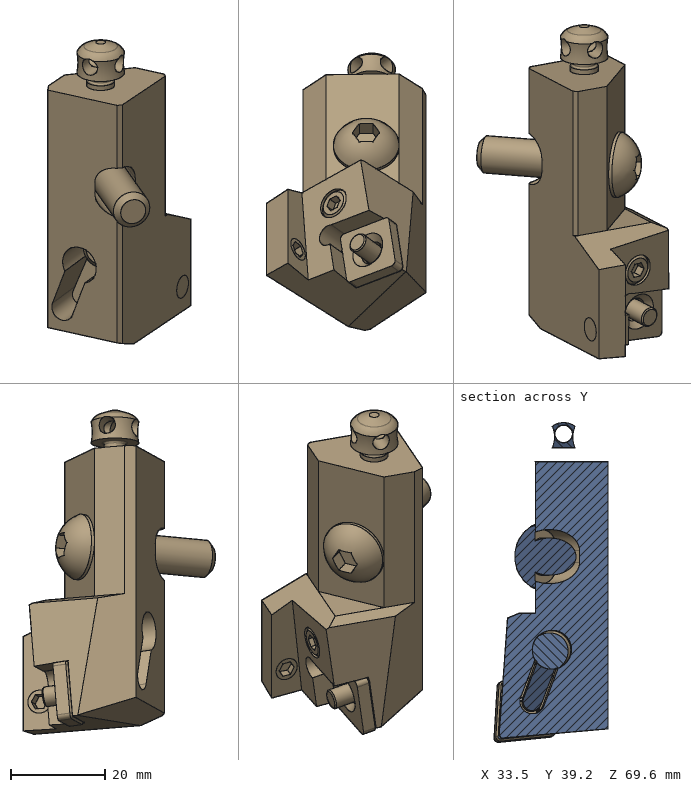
import cadquery as cq
import math


SHANK_WIDTH = 18.9
SHANK_DEPTH = 20.0
SHANK_LENGTH = 32.2
EDGE_CHAMFER = 0.8
LEAN_ANGLE = 25.8
LEAN_START = 17.85
FLAT_CUT = 11.0
FOOT_DEPTH = 30.0
FOOT_TOP_WIDTH = 21.4
SHOULDER_DROP = 1.05
FOOT_SIDE_SLOPE = 0.072
FOOT_BOTTOM_Z = -56.8
FOOT_BOTTOM_ANGLE = 5
FOOT_BACK_ANGLE = 25
FOOT_FRONT_Z = -54.7
FOOT_BEVEL_ANGLE = 20
REACH = 69.5

RAKE_X = 0.15
RAKE_Z = 0.1
STEP_CORNER = (-5.85, 25.15, -34.55)

INSERT_TIP = (-19.75, -25.8)
INSERT_TURN = 5.7
INSERT_ANGLE = 80
INSERT_EDGE = 12.9
INSERT_THICKNESS = 3.2
INSERT_TOP_DEPTH = 4.45
INSERT_RADIUS = 1.0
INSERT_CHAMFER = 0.4
INSERT_HOLE_DIAMETER = 5.15
COUNTERSINK_DIAMETER = 7.9
SEAT_DEPTH = INSERT_TOP_DEPTH + INSERT_THICKNESS
RELIEF_RADIUS = 2.4
RELIEF_OFFSET = 2.35

LEVER_DIAMETER = 4.25
LEVER_PIN_DEPTH = 0.7
LEVER_CHAMFER = 0.3
LEVER_FOOT_THICKNESS = 3.35
LEVER_FOOT_WIDTH = 4.0
SLOT_WIDTH = 5.15
SLOT_END = (-12.0, -17.4)

LEVER_SCREW_CENTER = (-7.9, -6.5)
LEVER_SCREW_DIAMETER = 8.1
LEVER_SCREW_NECK_DIAMETER = 6.8
LEVER_SCREW_NECK_LENGTH = 5.55
LEVER_SCREW_LENGTH = 12.0
LEVER_SCREW_CHAMFER = 1.05
LEVER_SCREW_NECK_CHAMFER = 0.7
LEVER_SOCKET_FLATS = 3.0
LEVER_SOCKET_DEPTH = 2.1

BOLT_Z = -20.15
BOLT_DIAMETER = 8.0
BOLT_TIP = 10.3
BOLT_CHAMFER = 1.25
BOLT_HEAD_DIAMETER = 14.0
BOLT_HEAD_HEIGHT = 5.2
BOLT_HEAD_RIM = 0.7
BOLT_SOCKET_FLATS = 5.0
BOLT_SOCKET_DEPTH = 3.75
BOLT_SLOT_WIDTH = 8.9
BOLT_SLOT_HEIGHT = 11.4
FLAT_DISTANCE = (SHANK_WIDTH + SHANK_DEPTH - FLAT_CUT) / math.sqrt(2)

ADJUSTER_CENTER = (-9.45, 8.0)
ADJUSTER_DIAMETER = 6.0
ADJUSTER_STEM_DEPTH = 10.0
ADJUSTER_COLLAR = 1.05
NECK_RADIUS = 2.3
NECK_FILLET = 0.4
KNOB_BOTTOM = 2.9
KNOB_EDGE_Z = 7.5
KNOB_RING_Z = 9.0
KNOB_TOP = 9.9
KNOB_RADIUS = 5.1
KNOB_WAIST_RADIUS = 4.9
KNOB_RING_RADIUS = 3.55
KNOB_FLAT_RADIUS = 1.05
KNOB_BULGE = 0.15
CROSS_HOLE_DIAMETER = 3.7
CROSS_HOLE_Z = 5.9

SET_SCREW_CENTER = (26.5, -51.15)
SET_SCREW_DIAMETER = 5.0
SET_SOCKET_FLATS = 3.05
SET_SOCKET_FLOOR = -4.0

RAKE_PLANE = cq.Plane(STEP_CORNER, (1, RAKE_X, 0), (RAKE_X, -1, RAKE_Z))
BOLT_PLANE = cq.Plane((0, 0, BOLT_Z), (1, 1, 0), (-1, 1, 0))


def tan(degrees):
    return math.tan(math.radians(degrees))


def hex_across(flats):
    """Corner-to-corner width of a hexagon from its width across flats."""
    return flats / math.cos(math.radians(30))


def shifted(point, degrees, length):
    """Point reached from `point` by going `length` in the direction `degrees`."""
    angle = math.radians(degrees)
    return (point[0] + length * math.cos(angle), point[1] + length * math.sin(angle))


EDGE_TURN = INSERT_TURN + INSERT_ANGLE
INSERT_LOW = shifted(INSERT_TIP, INSERT_TURN, INSERT_EDGE)
INSERT_INNER = shifted(INSERT_LOW, EDGE_TURN, INSERT_EDGE)
INSERT_HIGH = shifted(INSERT_TIP, EDGE_TURN, INSERT_EDGE)
INSERT_CENTER = ((INSERT_TIP[0] + INSERT_INNER[0]) / 2, (INSERT_TIP[1] + INSERT_INNER[1]) / 2)


def cylinder(center, diameter, start, end):
    return cq.Workplane().workplane(offset=start).center(*center).circle(diameter / 2).extrude(end - start)


def on_rake(body):
    """Move a body drawn in rake-plane coordinates onto the rake face."""
    return body.solids().val().moved(cq.Location(RAKE_PLANE))


def on_bolt_axis(body):
    return body.solids().val().moved(cq.Location(BOLT_PLANE))


def lever_slot(width, start, end):
    """Round-ended bar from the lever screw to the slot end, between two depths."""
    run = (LEVER_SCREW_CENTER[0] - SLOT_END[0], LEVER_SCREW_CENTER[1] - SLOT_END[1])
    length = math.hypot(*run)
    middle = (SLOT_END[0] + run[0] / 2, SLOT_END[1] + run[1] / 2)
    return (
        cq.Workplane().workplane(offset=start).center(*middle)
        .slot2D(length + width, width, math.degrees(math.atan2(run[1], run[0])))
        .extrude(end - start)
    )


def lever_screw_bore(end):
    """Stepped bore from the rake face down to the depth `end`."""
    neck = cylinder(LEVER_SCREW_CENTER, LEVER_SCREW_NECK_DIAMETER, 0, LEVER_SCREW_NECK_LENGTH)
    body = cylinder(LEVER_SCREW_CENTER, LEVER_SCREW_DIAMETER, LEVER_SCREW_NECK_LENGTH, end)
    return neck.union(body)


def step_cutter():
    """Space in front of the rake face, left of the step's side wall."""
    return on_rake(
        cq.Workplane().center(-REACH / 2, 0).rect(REACH, 2 * REACH).extrude(-REACH)
    )


def set_screw_bore():
    """Bore from the right face through the foot's side wall."""
    return (
        cq.Workplane("YZ").center(*SET_SCREW_CENTER)
        .circle(SET_SCREW_DIAMETER / 2).extrude(-SHANK_WIDTH / 2)
    )


def lean_line(y):
    """X of the front-left face at a given Y."""
    return -LEAN_START - y * tan(LEAN_ANGLE)


def shank():
    lean_end = (SHANK_WIDTH - LEAN_START) / tan(LEAN_ANGLE)
    outline = [
        (lean_line(0), 0),
        (-EDGE_CHAMFER, 0),
        (0, EDGE_CHAMFER),
        (0, SHANK_DEPTH - EDGE_CHAMFER),
        (-EDGE_CHAMFER, SHANK_DEPTH),
        (FLAT_CUT - SHANK_WIDTH, SHANK_DEPTH),
        (-SHANK_WIDTH, SHANK_DEPTH - FLAT_CUT),
        (-SHANK_WIDTH, lean_end),
    ]
    return cq.Workplane().polyline(outline).close().extrude(-SHANK_LENGTH)


def foot():
    """Common part of a plan, a side and a front outline, each run right through."""
    top = -SHANK_LENGTH
    plan = [
        (lean_line(0), 0),
        (-EDGE_CHAMFER, 0),
        (0, EDGE_CHAMFER),
        (0, FOOT_DEPTH),
        (lean_line(FOOT_DEPTH), FOOT_DEPTH),
    ]
    side = [
        (0, top),
        (SHANK_DEPTH, top),
        (FOOT_DEPTH, top - (FOOT_DEPTH - SHANK_DEPTH) * tan(FOOT_BACK_ANGLE)),
        (FOOT_DEPTH, FOOT_FRONT_Z - FOOT_DEPTH * tan(FOOT_BEVEL_ANGLE)),
        (0, FOOT_FRONT_Z),
    ]
    left_top = (-FOOT_TOP_WIDTH, top - SHOULDER_DROP)
    height = left_top[1] - FOOT_BOTTOM_Z
    bottom_slope = tan(FOOT_BOTTOM_ANGLE)
    drop = (height + FOOT_TOP_WIDTH * bottom_slope) / (1 - FOOT_SIDE_SLOPE * bottom_slope)
    front = [
        (0, top),
        (-SHANK_WIDTH, top),
        left_top,
        (left_top[0] - drop * FOOT_SIDE_SLOPE, left_top[1] - drop),
        (0, FOOT_BOTTOM_Z),
    ]
    plan_body = cq.Workplane().polyline(plan).close().extrude(-REACH)
    side_body = cq.Workplane("YZ").polyline(side).close().extrude(-REACH)
    front_body = cq.Workplane("XZ").polyline(front).close().extrude(-REACH)
    return plan_body.intersect(side_body).intersect(front_body)


def insert_pocket():
    """Seat open to the left, to the bottom and to the rake face, with a relieved inner corner."""
    left = shifted(INSERT_INNER, INSERT_TURN, -REACH)
    corners = [INSERT_INNER, left, shifted(left, EDGE_TURN, -REACH), shifted(INSERT_INNER, EDGE_TURN, -REACH)]
    seat = cq.Workplane().polyline(corners).close().extrude(SEAT_DEPTH)
    relief_center = shifted(INSERT_INNER, EDGE_TURN, -RELIEF_OFFSET)
    return on_rake(seat.union(cylinder(relief_center, 2 * RELIEF_RADIUS, 0, SEAT_DEPTH)))


def bolt_slot():
    return on_bolt_axis(
        cq.Workplane().workplane(offset=-SHANK_DEPTH)
        .slot2D(BOLT_SLOT_HEIGHT, BOLT_SLOT_WIDTH, 90)
        .extrude(SHANK_DEPTH + FLAT_DISTANCE)
    )


def make_holder():
    holder = shank().union(foot())
    holder = holder.cut(cq.Workplane(step_cutter()))
    cutters = [
        insert_pocket(),
        on_rake(lever_screw_bore(REACH)),
        on_rake(lever_slot(SLOT_WIDTH, SEAT_DEPTH, REACH)),
        bolt_slot(),
        cylinder(ADJUSTER_CENTER, ADJUSTER_DIAMETER, -ADJUSTER_STEM_DEPTH, 0).val(),
        set_screw_bore().val(),
    ]
    for cutter in cutters:
        holder = holder.cut(cq.Workplane(cutter))
    return holder.solids().val()


def make_insert():
    outline = [INSERT_TIP, INSERT_LOW, INSERT_INNER, INSERT_HIGH]
    plate = (
        cq.Workplane().workplane(offset=INSERT_TOP_DEPTH).polyline(outline).close().extrude(INSERT_THICKNESS)
        .edges("|Z").fillet(INSERT_RADIUS)
        .faces(">Z").chamfer(INSERT_CHAMFER)
    )
    hole = cylinder(INSERT_CENTER, INSERT_HOLE_DIAMETER, INSERT_TOP_DEPTH, SEAT_DEPTH)
    countersink_depth = (COUNTERSINK_DIAMETER - INSERT_HOLE_DIAMETER) / 2
    countersink = cq.Workplane(
        cq.Solid.makeCone(
            COUNTERSINK_DIAMETER / 2,
            INSERT_HOLE_DIAMETER / 2,
            countersink_depth,
            cq.Vector(*INSERT_CENTER, INSERT_TOP_DEPTH),
        )
    )
    return on_rake(plate.cut(hole).cut(countersink))


def make_lever():
    pin = (
        cylinder(INSERT_CENTER, LEVER_DIAMETER, LEVER_PIN_DEPTH, SEAT_DEPTH)
        .faces("<Z").chamfer(LEVER_CHAMFER)
    )
    foot_bar = lever_slot(LEVER_FOOT_WIDTH, SEAT_DEPTH, SEAT_DEPTH + LEVER_FOOT_THICKNESS)
    return on_rake(pin.union(foot_bar.cut(lever_screw_bore(REACH))))


def make_lever_screw():
    screw = (
        lever_screw_bore(LEVER_SCREW_LENGTH)
        .faces(">Z").chamfer(LEVER_SCREW_CHAMFER)
        .faces("<Z").chamfer(LEVER_SCREW_NECK_CHAMFER)
    )
    socket = (
        cq.Workplane().center(*LEVER_SCREW_CENTER)
        .polygon(6, hex_across(LEVER_SOCKET_FLATS)).extrude(LEVER_SOCKET_DEPTH)
    )
    return on_rake(screw.cut(socket))


def make_clamp_bolt():
    rod = (
        cylinder((0, 0), BOLT_DIAMETER, -BOLT_TIP, FLAT_DISTANCE)
        .faces("<Z").chamfer(BOLT_CHAMFER)
    )
    head_radius = BOLT_HEAD_DIAMETER / 2
    rise = BOLT_HEAD_HEIGHT - BOLT_HEAD_RIM
    dome_radius = (head_radius**2 + rise**2) / (2 * rise)
    top = FLAT_DISTANCE + BOLT_HEAD_HEIGHT
    dome = cq.Workplane().sphere(dome_radius).translate((0, 0, top - dome_radius))
    head = cylinder((0, 0), BOLT_HEAD_DIAMETER, FLAT_DISTANCE, top).intersect(dome)
    socket = (
        cq.Workplane().workplane(offset=top)
        .polygon(6, hex_across(BOLT_SOCKET_FLATS)).extrude(-BOLT_SOCKET_DEPTH)
    )
    return on_bolt_axis(rod.union(head).cut(socket))


def make_adjuster():
    stem_radius = ADJUSTER_DIAMETER / 2
    flare = NECK_RADIUS + NECK_FILLET
    swing = NECK_FILLET * (1 - math.sqrt(0.5))
    waist_z = (KNOB_BOTTOM + KNOB_EDGE_Z) / 2
    crown_middle = (
        (KNOB_RADIUS + KNOB_RING_RADIUS) / 2 + KNOB_BULGE,
        (KNOB_EDGE_Z + KNOB_RING_Z) / 2 + KNOB_BULGE,
    )
    profile = (
        cq.Workplane("XZ")
        .moveTo(0, -ADJUSTER_STEM_DEPTH)
        .lineTo(stem_radius, -ADJUSTER_STEM_DEPTH)
        .lineTo(stem_radius, ADJUSTER_COLLAR)
        .lineTo(flare, ADJUSTER_COLLAR)
        .threePointArc(
            (NECK_RADIUS + swing, ADJUSTER_COLLAR + swing), (NECK_RADIUS, ADJUSTER_COLLAR + NECK_FILLET)
        )
        .lineTo(NECK_RADIUS, KNOB_BOTTOM - NECK_FILLET)
        .threePointArc((NECK_RADIUS + swing, KNOB_BOTTOM - swing), (flare, KNOB_BOTTOM))
        .lineTo(KNOB_RADIUS, KNOB_BOTTOM)
        .threePointArc((KNOB_WAIST_RADIUS, waist_z), (KNOB_RADIUS, KNOB_EDGE_Z))
        .threePointArc(crown_middle, (KNOB_RING_RADIUS, KNOB_RING_Z))
        .lineTo(KNOB_FLAT_RADIUS, KNOB_TOP)
        .lineTo(0, KNOB_TOP)
        .close()
    )
    screw = profile.revolve(360, (0, 0, 0), (0, 1, 0))
    for plane in ("XZ", "YZ"):
        cross_hole = (
            cq.Workplane(plane).center(0, CROSS_HOLE_Z)
            .circle(CROSS_HOLE_DIAMETER / 2).extrude(KNOB_RADIUS * 2, both=True)
        )
        screw = screw.cut(cross_hole)
    return screw.translate((*ADJUSTER_CENTER, 0)).solids().val()


def make_set_screw():
    screw = set_screw_bore().cut(cq.Workplane(step_cutter()))
    socket = (
        cq.Workplane("YZ").workplane(offset=SET_SOCKET_FLOOR).center(*SET_SCREW_CENTER)
        .polygon(6, hex_across(SET_SOCKET_FLATS)).extrude(-SHANK_WIDTH / 2)
    )
    return screw.cut(socket).solids().val()


holder = make_holder()
insert = make_insert()
lever = make_lever()
lever_screw = make_lever_screw()
clamp_bolt = make_clamp_bolt()
adjuster = make_adjuster()
set_screw = make_set_screw()

result = cq.Compound.makeCompound(
    [holder, insert, lever, lever_screw, clamp_bolt, adjuster, set_screw]
)